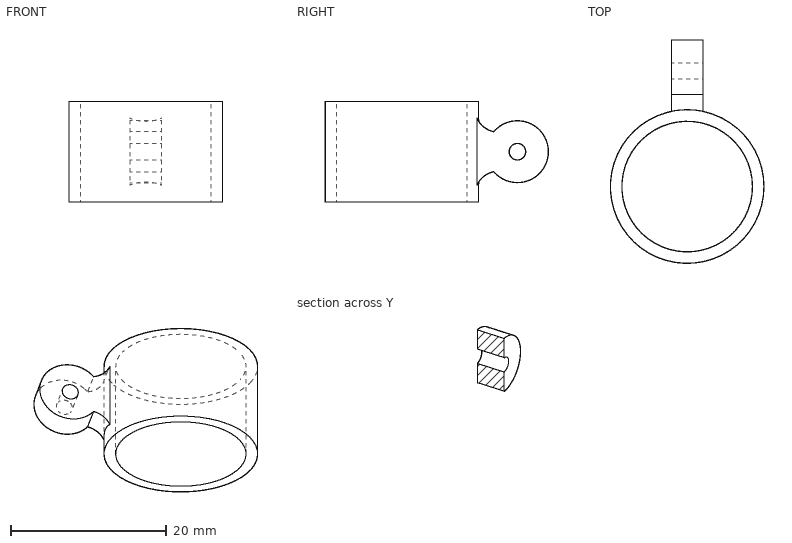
import cadquery as cq
import math

ring_outer_diameter = 19.8
ring_bore_diameter = 16.8
ring_height = 13.0
ring_radius = ring_outer_diameter / 2

overall_length = 28.8
lug_diameter = 8.0
lug_hole_diameter = 2.1
lug_width = 4.1
lug_radius = lug_diameter / 2
lug_center_y = overall_length - ring_outer_diameter + ring_radius - lug_radius

neck_tip_offset = 3.05
neck_root_half_height = 4.32
neck_flare_radius = 3.0
neck_tip_y = lug_center_y - neck_tip_offset
neck_tip_half_height = math.sqrt(lug_radius**2 - neck_tip_offset**2)
neck_root_y = math.sqrt(ring_radius**2 - (lug_width / 2) ** 2)
neck_inner_y = (ring_radius + ring_bore_diameter / 2) / 2


def make_ring():
    return cq.Workplane("XY").circle(ring_radius).extrude(ring_height / 2, both=True)


def make_lug():
    return (
        cq.Workplane("YZ")
        .center(lug_center_y, 0)
        .circle(lug_radius)
        .extrude(lug_width / 2, both=True)
    )


def flare_midpoint():
    """Middle of the upper flare arc, which bulges toward the neck's centreline."""
    span_y = neck_root_y - neck_tip_y
    span_z = neck_root_half_height - neck_tip_half_height
    chord = math.hypot(span_y, span_z)
    sagitta = neck_flare_radius - math.sqrt(neck_flare_radius**2 - (chord / 2) ** 2)
    middle_y = (neck_root_y + neck_tip_y) / 2
    middle_z = (neck_root_half_height + neck_tip_half_height) / 2
    return middle_y - sagitta * span_z / chord, middle_z + sagitta * span_y / chord


def make_neck():
    flare_y, flare_z = flare_midpoint()
    return (
        cq.Workplane("YZ")
        .moveTo(lug_center_y, 0)
        .lineTo(neck_tip_y, neck_tip_half_height)
        .threePointArc((flare_y, flare_z), (neck_root_y, neck_root_half_height))
        .lineTo(neck_inner_y, neck_root_half_height)
        .lineTo(neck_inner_y, -neck_root_half_height)
        .lineTo(neck_root_y, -neck_root_half_height)
        .threePointArc((flare_y, -flare_z), (neck_tip_y, -neck_tip_half_height))
        .close()
        .extrude(lug_width / 2, both=True)
    )


bore = cq.Workplane("XY").circle(ring_bore_diameter / 2).extrude(ring_height / 2, both=True)
lug_hole = (
    cq.Workplane("YZ")
    .center(lug_center_y, 0)
    .circle(lug_hole_diameter / 2)
    .extrude(lug_width / 2, both=True)
)

result = make_ring().union(make_lug()).union(make_neck()).cut(bore).cut(lug_hole)